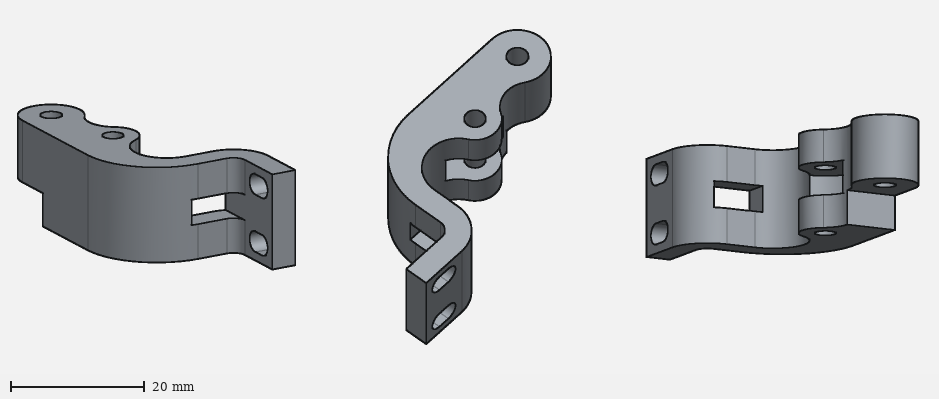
import cadquery as cq
import math

LENGTH = 46.0
WIDTH = 23.0
HEIGHT = 15.0

END_RADIUS = 5.0
END_CENTER = (END_RADIUS, END_RADIUS)
END_HOLE_DIAMETER = 3.3
MIDDLE_RADIUS = 4.0
MIDDLE_CENTER = (18.0, 8.0)
MIDDLE_HOLE_DIAMETER = 3.2
VALLEY_RADIUS = 4.7

STRAP = 4.0
WALL_LEFT = 32.0
WALL_RIGHT = WALL_LEFT + STRAP
LOWER_BEND_INNER_RADIUS = 5.5
LOWER_BEND_OUTER_RADIUS = 12.0
UPPER_BEND_INNER_RADIUS = 2.0
UPPER_BEND_OUTER_RADIUS = UPPER_BEND_INNER_RADIUS + STRAP
UPPER_BEND_CENTER = (WALL_RIGHT + UPPER_BEND_INNER_RADIUS, WIDTH - UPPER_BEND_OUTER_RADIUS)
FLANGE_FRONT = WIDTH - STRAP

RELIEF_LENGTH = 10.95
RELIEF_HEIGHT = 5.25

CLEARANCE_RADIUS = 6.0
CLEARANCE_HEIGHT = 5.0

WINDOW_FRONT = 11.0
WINDOW_HEIGHT = 4.0
WINDOW_START = WALL_LEFT - STRAP / 2

MOUNT_X = 42.0
MOUNT_LENGTH = 5.25
MOUNT_DIAMETER = 3.2
MOUNT_EDGE_DISTANCE = 3.0


def polar(center, radius, angle):
    return (center[0] + radius * math.cos(angle), center[1] + radius * math.sin(angle))


def direction(start, end):
    return math.atan2(end[1] - start[1], end[0] - start[0])


def middle_angle_point(center, radius, first, last):
    return polar(center, radius, (first + last) / 2)


def valley_center():
    """Centre of the concave arc tangent to both bosses, on their +Y side."""
    spacing = math.dist(END_CENTER, MIDDLE_CENTER)
    to_end = END_RADIUS + VALLEY_RADIUS
    to_middle = MIDDLE_RADIUS + VALLEY_RADIUS
    cosine = (to_end**2 + spacing**2 - to_middle**2) / (2 * to_end * spacing)
    return polar(END_CENTER, to_end, direction(END_CENTER, MIDDLE_CENTER) + math.acos(cosine))


def lower_bend_center():
    """Centre of the concave arc tangent to the middle boss and the upright wall."""
    x = WALL_LEFT - LOWER_BEND_INNER_RADIUS
    reach = MIDDLE_RADIUS + LOWER_BEND_INNER_RADIUS
    return (x, MIDDLE_CENTER[1] + math.sqrt(reach**2 - (x - MIDDLE_CENTER[0]) ** 2))


def make_body():
    valley = valley_center()
    inner_bend = lower_bend_center()
    outer_bend = (WALL_RIGHT - LOWER_BEND_OUTER_RADIUS, LOWER_BEND_OUTER_RADIUS)
    end_to_valley = direction(END_CENTER, valley)
    middle_to_valley = direction(MIDDLE_CENTER, valley)
    middle_to_bend = direction(MIDDLE_CENTER, inner_bend)
    down = -math.pi / 2
    upper_diagonal = 3 * math.pi / 4
    return (
        cq.Workplane("XY")
        .moveTo(END_CENTER[0], 0)
        .lineTo(outer_bend[0], 0)
        .threePointArc(
            polar(outer_bend, LOWER_BEND_OUTER_RADIUS, -math.pi / 4), (WALL_RIGHT, outer_bend[1])
        )
        .lineTo(WALL_RIGHT, UPPER_BEND_CENTER[1])
        .threePointArc(
            polar(UPPER_BEND_CENTER, UPPER_BEND_INNER_RADIUS, upper_diagonal),
            (UPPER_BEND_CENTER[0], FLANGE_FRONT),
        )
        .lineTo(LENGTH, FLANGE_FRONT)
        .lineTo(LENGTH, WIDTH)
        .lineTo(UPPER_BEND_CENTER[0], WIDTH)
        .threePointArc(
            polar(UPPER_BEND_CENTER, UPPER_BEND_OUTER_RADIUS, upper_diagonal),
            (WALL_LEFT, UPPER_BEND_CENTER[1]),
        )
        .lineTo(WALL_LEFT, inner_bend[1])
        .threePointArc(
            polar(inner_bend, LOWER_BEND_INNER_RADIUS, down),
            polar(MIDDLE_CENTER, MIDDLE_RADIUS, middle_to_bend),
        )
        .threePointArc(
            middle_angle_point(MIDDLE_CENTER, MIDDLE_RADIUS, middle_to_bend, middle_to_valley),
            polar(MIDDLE_CENTER, MIDDLE_RADIUS, middle_to_valley),
        )
        .threePointArc(
            polar(valley, VALLEY_RADIUS, down), polar(END_CENTER, END_RADIUS, end_to_valley)
        )
        .threePointArc(polar(END_CENTER, END_RADIUS, math.pi), (END_CENTER[0], 0))
        .close()
        .extrude(HEIGHT)
    )


def vertical_cylinder(center, diameter, bottom, height):
    return cq.Workplane("XY", origin=(*center, bottom)).circle(diameter / 2).extrude(height)


def box(corner, size):
    return cq.Workplane("XY").box(*size, centered=False).translate(corner)


def mounting_holes():
    return (
        cq.Workplane("XZ", origin=(0, WIDTH, 0))
        .pushPoints([(MOUNT_X, MOUNT_EDGE_DISTANCE), (MOUNT_X, HEIGHT - MOUNT_EDGE_DISTANCE)])
        .slot2D(MOUNT_LENGTH, MOUNT_DIAMETER)
        .extrude(STRAP)
    )


relief = box((0, 0, 0), (RELIEF_LENGTH, WIDTH, RELIEF_HEIGHT))
clearance = vertical_cylinder(
    MIDDLE_CENTER, 2 * CLEARANCE_RADIUS, (HEIGHT - CLEARANCE_HEIGHT) / 2, CLEARANCE_HEIGHT
)
window = box(
    (WINDOW_START, WINDOW_FRONT, (HEIGHT - WINDOW_HEIGHT) / 2),
    (UPPER_BEND_CENTER[0] - WINDOW_START, FLANGE_FRONT - WINDOW_FRONT, WINDOW_HEIGHT),
)

result = (
    make_body()
    .cut(relief)
    .cut(vertical_cylinder(END_CENTER, END_HOLE_DIAMETER, 0, HEIGHT))
    .cut(vertical_cylinder(MIDDLE_CENTER, MIDDLE_HOLE_DIAMETER, 0, HEIGHT))
    .cut(clearance)
    .cut(window)
    .cut(mounting_holes())
)